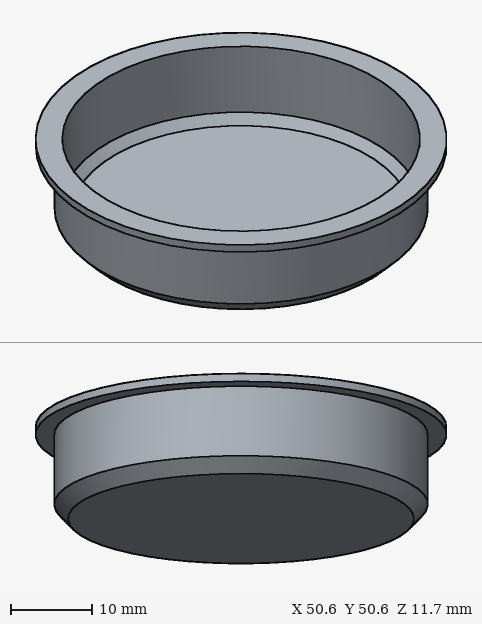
import cadquery as cq

flange_diameter = 50.6
body_diameter = 46.0
bore_diameter = 44.0
height = 11.7
flange_thickness = 1.0
floor_thickness = 1.0

outer_bevel_width = 1.7
outer_bevel_height = 1.8
inner_bevel_width = 1.2
inner_bevel_height = 1.2

flange_radius = flange_diameter / 2
body_radius = body_diameter / 2
bore_radius = bore_diameter / 2

half_section = (
    cq.Workplane("XZ")
    .moveTo(0, 0)
    .lineTo(body_radius - outer_bevel_width, 0)
    .lineTo(body_radius, outer_bevel_height)
    .lineTo(body_radius, height - flange_thickness)
    .lineTo(flange_radius, height - flange_thickness)
    .lineTo(flange_radius, height)
    .lineTo(bore_radius, height)
    .lineTo(bore_radius, floor_thickness + inner_bevel_height)
    .lineTo(bore_radius - inner_bevel_width, floor_thickness)
    .lineTo(0, floor_thickness)
    .close()
)

result = half_section.revolve(360, (0, 0, 0), (0, 1, 0))